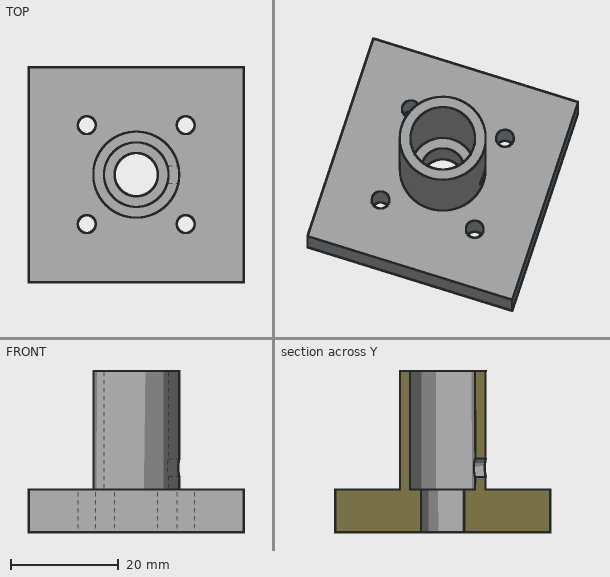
import cadquery as cq

plate_side = 40.0
plate_thickness = 8.0

total_height = 30.0
tube_diameter = 16.0
upper_bore_diameter = 12.0
lower_bore_diameter = 8.0
tube_height = total_height - plate_thickness

bolt_circle_diameter = 26.0
bolt_hole_diameter = 3.3
bolt_hole_count = 4
first_bolt_angle = 45.0

side_hole_diameter = 3.3
side_hole_rise = 4.0

plate = cq.Workplane("XY").rect(plate_side, plate_side).extrude(plate_thickness)

tube = (
    cq.Workplane("XY")
    .workplane(offset=plate_thickness)
    .circle(tube_diameter / 2)
    .extrude(tube_height)
)

body = (
    plate.union(tube)
    .faces(">Z")
    .workplane()
    .cboreHole(lower_bore_diameter, upper_bore_diameter, tube_height)
)

bolt_holes = (
    cq.Workplane("XY")
    .polarArray(bolt_circle_diameter / 2, first_bolt_angle, 360, bolt_hole_count)
    .circle(bolt_hole_diameter / 2)
    .extrude(plate_thickness)
)

side_hole = (
    cq.Workplane("YZ")
    .center(0, plate_thickness + side_hole_rise)
    .circle(side_hole_diameter / 2)
    .extrude(tube_diameter)
)

result = body.cut(bolt_holes).cut(side_hole)